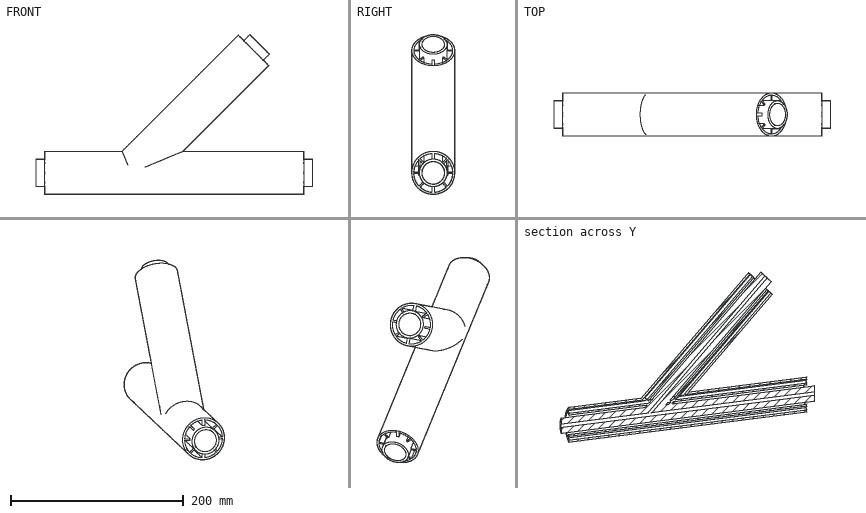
import cadquery as cq
import math

overall_length = 320.0
spigot_length = 10.0
branch_length = 200.3
branch_angle = 45.0
junction_x = -50.0

jacket_diameter = 50.0
jacket_bore = 44.8
tube_diameter = 32.0
tube_bore = 26.0

rib_count = 8
thick_rib = 3.2
thin_rib = 2.0
branch_rib_start = 12.0
rib_overlap = 0.5

run_length = overall_length - 2 * spigot_length
run_start = -run_length / 2
slant = math.radians(branch_angle)

run_plane = cq.Plane(origin=(0, 0, 0), xDir=(0, 1, 0), normal=(1, 0, 0))
branch_plane = cq.Plane(
    origin=(junction_x, 0, 0),
    xDir=(0, 1, 0),
    normal=(math.cos(slant), 0, math.sin(slant)),
)


def rod(plane, diameter, start, end):
    """Solid cylinder between two distances along the plane's normal."""
    return cq.Workplane(plane).workplane(offset=start).circle(diameter / 2).extrude(end - start)


def ribs(plane, start, end):
    """Radial ribs around a pipe axis, spanning the gap between tube and jacket."""
    inner = tube_diameter / 2 - rib_overlap
    outer = jacket_bore / 2 + rib_overlap
    base = cq.Workplane(plane).workplane(offset=start)
    rib_set = None
    for index in range(rib_count):
        angle = index * 360 / rib_count
        in_axes_plane = index % (rib_count // 2) == rib_count // 4
        width = thick_rib if in_axes_plane else thin_rib
        rib = (
            base.transformed(rotate=(0, 0, angle))
            .center((inner + outer) / 2, 0)
            .rect(outer - inner, width)
            .extrude(end - start)
        )
        rib_set = rib if rib_set is None else rib_set.union(rib)
    return rib_set


def pipe_pair(diameter, extension):
    """Run and branch cylinders joined, lengthened at each open end by the extension."""
    run = rod(run_plane, diameter, run_start - extension, -run_start + extension)
    branch = rod(branch_plane, diameter, 0, branch_length + extension)
    return run.union(branch)


jackets = pipe_pair(jacket_diameter, 0).cut(pipe_pair(jacket_bore, 0))
tubes = pipe_pair(tube_diameter, spigot_length)

run_ribs = ribs(run_plane, run_start, -run_start)
branch_ribs = ribs(branch_plane, branch_rib_start, branch_length)

result = jackets.union(tubes).union(run_ribs).union(branch_ribs).cut(pipe_pair(tube_bore, spigot_length))